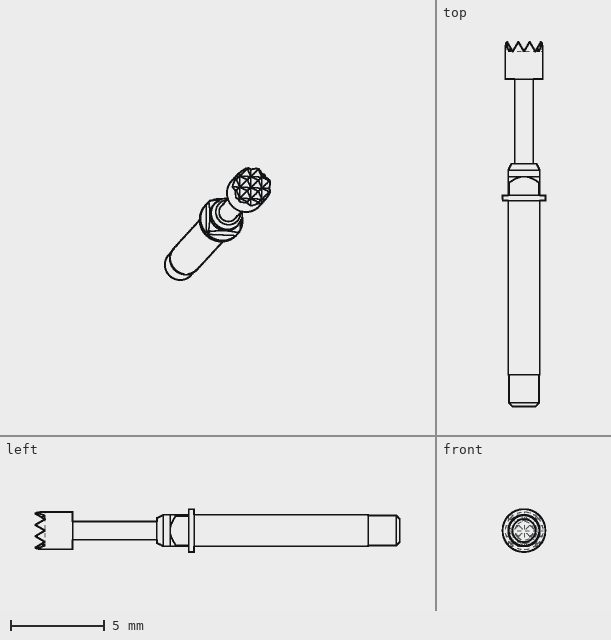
import cadquery as cq
import math


total_length = 19.5
head_length = 2.0
shank_length = 4.5
collar_cone_length = 0.35
collar_band_length = 0.35
square_length = 1.0
flange_thickness = 0.3
barrel_length = 9.3
tail_chamfer = 0.2

head_diameter = 2.0
shank_diameter = 1.0
collar_tip_diameter = 1.35
barrel_diameter = 1.7
flange_diameter = 2.3
tail_diameter = 1.62
head_radius = head_diameter / 2
shank_radius = shank_diameter / 2
collar_tip_radius = collar_tip_diameter / 2
barrel_radius = barrel_diameter / 2
flange_radius = flange_diameter / 2
tail_radius = tail_diameter / 2

square_side = barrel_diameter
shoulder_length = flange_radius - barrel_radius

groove_pitch = 0.6
groove_angle = 60.0
groove_depth = groove_pitch / 2 / math.tan(math.radians(groove_angle / 2))
grooves_per_side = math.ceil(head_radius / groove_pitch)

square_start = flange_thickness
square_end = square_start + square_length
band_end = square_end + collar_band_length
collar_end = band_end + collar_cone_length
head_start = collar_end + shank_length
head_end = head_start + head_length

barrel_end = -barrel_length
tail_end = head_end - total_length


def revolve_profile(points):
    """Revolve a closed (radius, y) outline about the Y axis."""
    return cq.Workplane("XY").polyline(points).close().revolve(360, (0, 0, 0), (0, 1, 0))


def make_turned_body():
    """Everything that is round, from the tail to the uncut head."""
    return revolve_profile([
        (0, tail_end),
        (tail_radius - tail_chamfer, tail_end),
        (tail_radius, tail_end + tail_chamfer),
        (tail_radius, barrel_end),
        (barrel_radius, barrel_end),
        (barrel_radius, 0),
        (flange_radius, 0),
        (flange_radius, flange_thickness),
        (barrel_radius, flange_thickness),
        (barrel_radius, band_end),
        (collar_tip_radius, collar_end),
        (shank_radius, collar_end),
        (shank_radius, head_start),
        (head_radius, head_start),
        (head_radius, head_end),
        (0, head_end),
    ])


def make_square_section():
    """Square whose corners are rounded to the flange and bevelled by a conical shoulder."""
    blank = revolve_profile([
        (0, square_start),
        (flange_radius, square_start),
        (flange_radius, square_end - shoulder_length),
        (barrel_radius, square_end),
        (0, square_end),
    ])
    square = cq.Workplane("XY").box(square_side, square_length, square_side)
    return blank.intersect(square.translate((0, (square_start + square_end) / 2, 0)))


def make_groove(offset):
    """V groove running along Z, centred at X = offset, cut from the head's end face."""
    return (
        cq.Workplane("XY")
        .moveTo(offset - groove_pitch / 2, head_end)
        .lineTo(offset, head_end - groove_depth)
        .lineTo(offset + groove_pitch / 2, head_end)
        .close()
        .extrude(head_radius, both=True)
    )


def cut_serrations(body):
    """Cross the head with grooves along Z and along X, leaving pyramid teeth."""
    for index in range(-grooves_per_side, grooves_per_side + 1):
        groove = make_groove(index * groove_pitch)
        crossing_groove = groove.rotate((0, 0, 0), (0, 1, 0), 90)
        body = body.cut(groove).cut(crossing_groove)
    return body


result = cut_serrations(make_turned_body().union(make_square_section()))